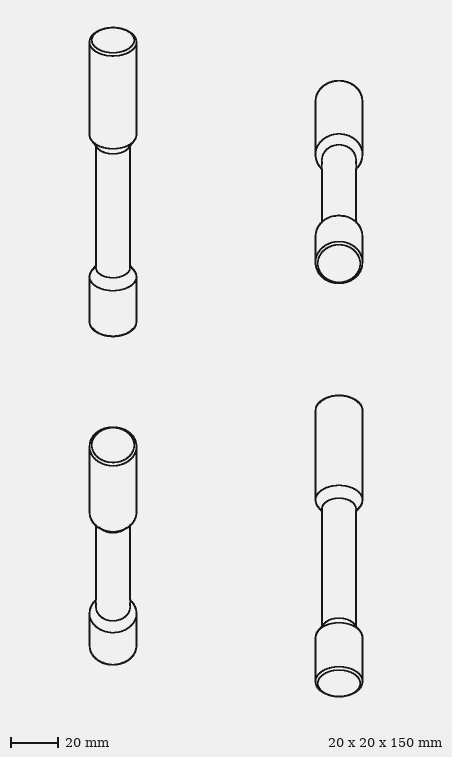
import cadquery as cq
import math

TOTAL_LENGTH = 150.0
HEAD_DIAMETER = 20.0
SHANK_DIAMETER = 14.5
LOWER_HEAD_LENGTH = 25.0
UPPER_HEAD_LENGTH = 50.0
TAPER_HALF_ANGLE = 30.0
END_CHAMFER = 1.0

head_radius = HEAD_DIAMETER / 2
shank_radius = SHANK_DIAMETER / 2
taper_length = (head_radius - shank_radius) / math.tan(math.radians(TAPER_HALF_ANGLE))
upper_head_base = TOTAL_LENGTH - UPPER_HEAD_LENGTH


def stepped_bar():
    """Bar along Z with two thick heads tapering into a thinner shank."""
    return (
        cq.Workplane("XZ")
        .lineTo(head_radius, 0)
        .lineTo(head_radius, LOWER_HEAD_LENGTH)
        .lineTo(shank_radius, LOWER_HEAD_LENGTH + taper_length)
        .lineTo(shank_radius, upper_head_base - taper_length)
        .lineTo(head_radius, upper_head_base)
        .lineTo(head_radius, TOTAL_LENGTH)
        .lineTo(0, TOTAL_LENGTH)
        .close()
        .revolve(360, (0, 0, 0), (0, 1, 0))
    )


def chamfer_ends(bar):
    """Break the outer edge of both end faces."""
    return bar.faces("<Z or >Z").edges().chamfer(END_CHAMFER)


result = chamfer_ends(stepped_bar())